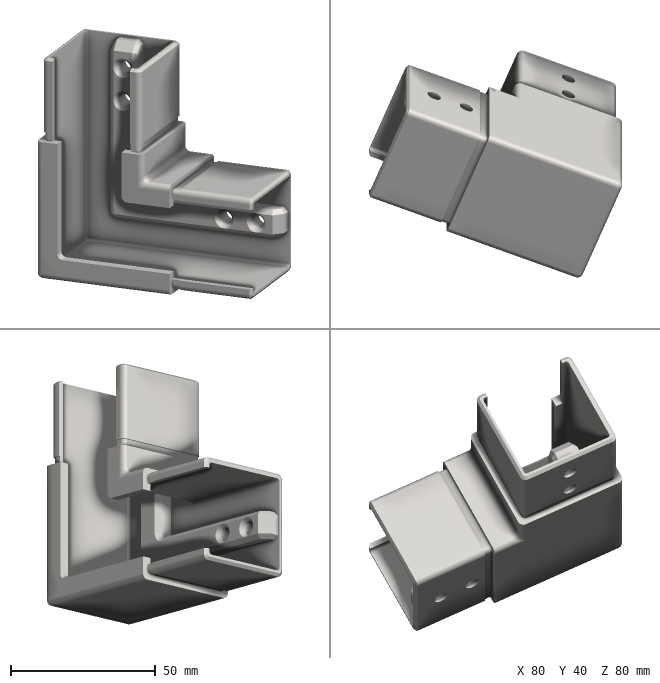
import cadquery as cq

overall = 80.0
tube_side = 40.0
axis = tube_side / 2

sleeve_length = 50.0
sleeve_radius = 2.0

neck_inset = 2.1
neck_end = 53.0

spigot_inset = 1.6
spigot_radius = 2.0
neck_radius = spigot_inset + spigot_radius - neck_inset
tip_chamfer_along = 0.8
tip_chamfer_inward = 1.0

bore_inset = 3.5
bore_radius = 1.0

window_inset = 8.0
window_radius = 2.0
spigot_lip_inset = 5.5

rib_width = 10.0
rib_front = 30.1
rib_radius = 2.0
rib_chamfer = 1.5
rib_end = 79.2
rib_end_slope = 3.2

hole_diameter = 5.0
countersink_diameter = 7.0
hole_distances = (58.0, 70.0)

margin = 0.1

mitre_normal = (1, 0, -1)


def swap_legs(shape):
    """Reflect in the mitre plane X = Z, turning the upright leg into the level one."""
    return shape.mirror(mitre_normal)


def upright_bar(inset, radius, start, end):
    """Square bar along Z with rounded long edges, centred on the upright leg."""
    side = tube_side - 2 * inset
    bar = cq.Workplane("XY", origin=(axis, axis, start)).rect(side, side).extrude(end - start)
    return bar.edges("|Z").fillet(radius)


def mitred_elbow(inset, radius, length):
    """Rounded square bar turning the corner with a sharp mitre."""
    mitre_half = (
        cq.Workplane("XZ").polyline([(0, 0), (0, length), (length, length)]).close().extrude(-tube_side)
    )
    upright = upright_bar(inset, radius, 0, length).intersect(mitre_half)
    return upright.union(swap_legs(upright))


def elbow_outline(inset, length):
    """Sharp L-shaped outline in the XZ plane at a constant inset from the sleeve."""
    far = tube_side - inset
    return cq.Workplane("XZ").polyline([
        (inset, inset), (length, inset), (length, far), (far, far), (far, length), (inset, length),
    ]).close()


def elbow_corner(position):
    """Selector for the edge along Y at X = Z = position."""
    low = position - margin
    high = position + margin
    return cq.selectors.BoxSelector((low, 0, low), (high, tube_side, high))


def sleeve():
    """Outer body, with the inner and outer corners of the elbow rounded."""
    body = mitred_elbow(0, sleeve_radius, sleeve_length)
    low = tube_side - sleeve_radius - margin
    high = tube_side + margin
    inner_crease = cq.selectors.BoxSelector((low, -margin, low), (high, high, high), boundingbox=True)
    body = body.edges(inner_crease).fillet(sleeve_radius)
    block = cq.Workplane("XY").box(overall, tube_side, overall, centered=False)
    return body.intersect(block.edges().fillet(sleeve_radius))


def spigot():
    """Upright plug that enters the tube: a thinner neck, then a head with a chamfered tip."""
    neck = upright_bar(neck_inset, neck_radius, axis, neck_end)
    head = upright_bar(spigot_inset, spigot_radius, neck_end, overall)
    head = head.faces(">Z").chamfer(tip_chamfer_along, tip_chamfer_inward)
    return neck.union(head)


def sleeve_window():
    """Opening in the front wall of the sleeve, with both elbow corners rounded."""
    window = elbow_outline(window_inset, overall).extrude(-axis)
    for position in (window_inset, tube_side - window_inset):
        window = window.edges(elbow_corner(position)).fillet(window_radius)
    return window


def spigot_slot():
    """Opening in the front wall of the upright spigot, wider than the sleeve window."""
    width = tube_side - 2 * spigot_lip_inset
    height = overall - sleeve_length
    slot = cq.Workplane("XY", origin=(spigot_lip_inset, 0, sleeve_length))
    return slot.box(width, axis, height, centered=False)


def rib():
    """L-shaped rib with sloped ends and bevelled sides, rooted inside the back wall."""
    inset = axis - rib_width / 2
    rib_root = tube_side - neck_inset
    bar = elbow_outline(inset, rib_end).extrude(-rib_root)
    bar = bar.cut(cq.Workplane("XY").box(overall, rib_front, overall, centered=False))
    for position in (inset, tube_side - inset):
        bar = bar.edges(elbow_corner(position)).fillet(rib_radius)
    bar = bar.faces("<Y").edges(">Z or >X").chamfer(rib_end_slope)
    front_sides = bar.faces("<Y").edges("not(>Z or >X)")
    slope_sides = bar.edges("not(|X or |Y or |Z or %CIRCLE)")
    end_sides = bar.faces(">Z or >X").edges("|Y")
    return front_sides.add(slope_sides).add(end_sides).chamfer(rib_chamfer)


def screw_hole(distance):
    """Countersunk hole in the upright leg, opening toward the front of the rib."""
    depth = tube_side - rib_front
    front_plane = cq.Workplane("XZ", origin=(axis, rib_front, distance))
    hole = front_plane.circle(hole_diameter / 2).extrude(-depth)
    sink_depth = (countersink_diameter - hole_diameter) / 2
    sink = (
        front_plane.circle(countersink_diameter / 2)
        .workplane(offset=-sink_depth).circle(hole_diameter / 2).loft()
    )
    return hole.union(sink)


body = sleeve().union(spigot()).union(swap_legs(spigot()))
body = body.cut(mitred_elbow(bore_inset, bore_radius, overall))
body = body.cut(sleeve_window())
body = body.cut(spigot_slot()).cut(swap_legs(spigot_slot()))
body = body.union(rib())
for hole_distance in hole_distances:
    hole = screw_hole(hole_distance)
    body = body.cut(hole).cut(swap_legs(hole))

result = body